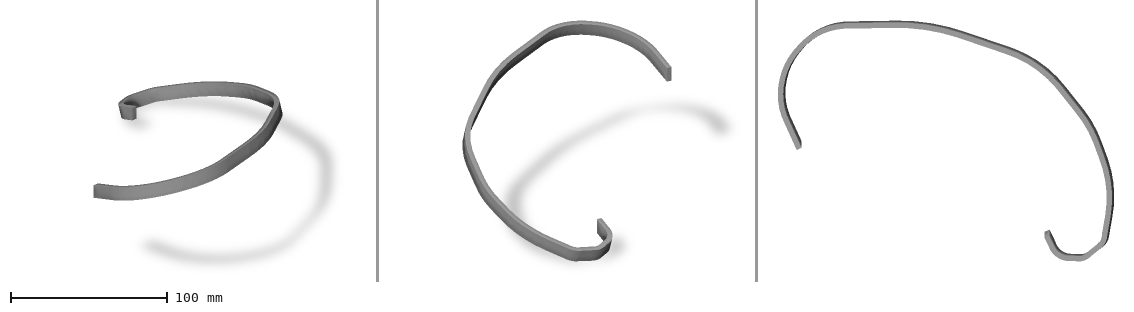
import cadquery as cq
import math

PLANE_TILT = 20.4
STRIP_WIDTH = 8.8
STRIP_THICKNESS = 3.5

START = (-77.5, 32.7)
BENDS = [
    ((-94.0, 32.7), 12.3),
    ((-101.5, 48.0), 9.8),
    ((-97.6, 64.0), 9.8),
    ((-68.3, 85.1), 70.5),
    ((-26.8, 89.0), 70.5),
    ((24.0, 77.0), 72.2),
    ((76.1, 22.3), 128.2),
    ((104.9, -43.0), 42.3),
    ((91.4, -73.0), 43.0),
    ((71.5, -87.7), 39.1),
]
END = (40.5, -88.2)


def toward(origin, target, distance):
    """Point at a distance from origin along the line to target."""
    span = math.dist(origin, target)
    return tuple(o + (t - o) * distance / span for o, t in zip(origin, target))


def bend_points(before, corner, after, radius):
    """Start, middle and end of the arc that rounds a corner."""
    into = math.atan2(corner[1] - before[1], corner[0] - before[0])
    out = math.atan2(after[1] - corner[1], after[0] - corner[0])
    half_turn = math.remainder(out - into, math.tau) / 2
    setback = radius * math.tan(abs(half_turn))
    arc_start = toward(corner, before, setback)
    arc_end = toward(corner, after, setback)
    chord_middle = tuple((s + e) / 2 for s, e in zip(arc_start, arc_end))
    sagitta = radius * (1 - math.cos(half_turn))
    return arc_start, toward(chord_middle, corner, sagitta), arc_end


def centre_line(plane):
    """Straight runs joined by tangent bends."""
    corners = [START] + [corner for corner, _ in BENDS] + [END]
    path = cq.Workplane(plane).moveTo(*START)
    for index, (corner, radius) in enumerate(BENDS):
        arc_start, arc_middle, arc_end = bend_points(
            corners[index], corner, corners[index + 2], radius
        )
        path = path.lineTo(*arc_start).threePointArc(arc_middle, arc_end)
    return path.lineTo(*END)


def bent_strip():
    """Upright section, parallel to YZ, swept along the sloping centre line."""
    tilt = math.radians(PLANE_TILT)
    bending_plane = cq.Plane(
        origin=(0, 0, 0),
        xDir=(math.cos(tilt), 0, math.sin(tilt)),
        normal=(-math.sin(tilt), 0, math.cos(tilt)),
    )
    start = bending_plane.toWorldCoords(START)
    upright_height = STRIP_WIDTH / math.cos(tilt)
    section = cq.Workplane("YZ", origin=start.toTuple()).rect(STRIP_THICKNESS, upright_height)
    return section.sweep(centre_line(bending_plane), transition="right")


result = bent_strip()